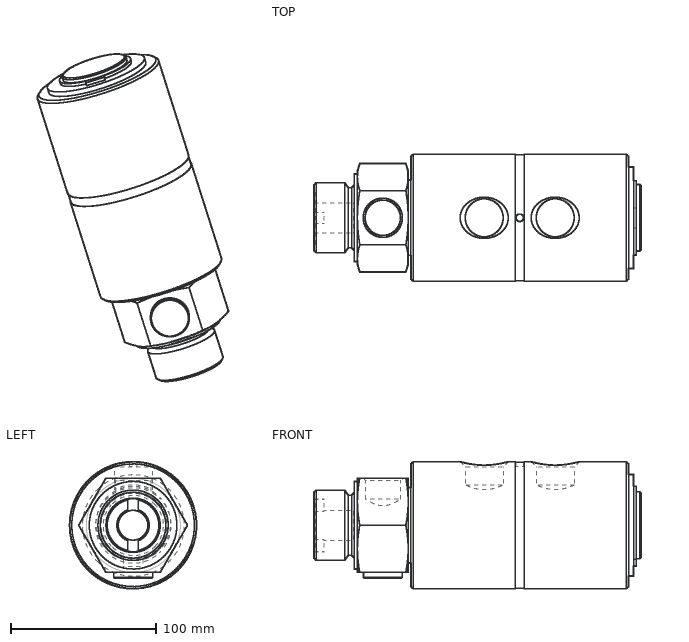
import cadquery as cq
import math

TOTAL_LENGTH = 225.5

STUB_DIA = 48.5
STUB_CHAMFER = 1.5
STUB_END = 21.2
UNDERCUT_START = 23.7
UNDERCUT_DIA = 41.5
UNDERCUT_END = 26.0
UNDERCUT_FLARE = 2.0
COLLAR_DIA = 60.5
COLLAR_START = 27.7

HEX_START = 30.0
HEX_END = 65.0
HEX_ACROSS_FLATS = 65.0
HEX_CHAMFER = 1.5
HEX_MIDDLE = (HEX_START + HEX_END) / 2
HEX_CORNER_DIA = HEX_ACROSS_FLATS / math.cos(math.pi / 6)
NECK_DIA = 52.0

BODY_DIA = 87.7
BODY_START = 66.7
BODY_END = 216.8
BODY_CHAMFER = 1.5
BODY_MIDDLE = (BODY_START + BODY_END) / 2
GROOVE_DIA = 87.0
GROOVE_WIDTH = 6.3

COVER_DIA = 70.0
COVER_END = 220.2
RING_DIA = 51.5
RING_OFFSET = 1.4
RING_END = 222.2
LUG_WIDTH = 13.5
LUG_REACH = 28.2
SHAFT_END_DIA = 46.2
SHAFT_END_CHAMFER = 1.0

HEX_PORT_DIA = 24.3
HEX_PORT_MOUTH_DIA = 27.0
HEX_PORT_CORE_DIA = 36.5
BODY_PORT_DIA = 26.1
BODY_PORT_MOUTH_DIA = 33.1
BODY_PORT_CORE_DIA = 56.0
BODY_PORT_SPACING = 49.0
PIN_HOLE_DIA = 5.2
PIN_HOLE_DEPTH = 2.7

PLUG_DIA = 26.8
PLUG_REACH = 36.5
PLUG_CHAMFER = 0.7

INSERT_DIA = 36.5
INSERT_EDGE_CHAMFER = 0.5
BORE_DIA = 20.5
BORE_CHAMFER = 1.0
BORE_DEPTH = 27.0
SLOT_WIDTH = 7.5
SLOT_DEPTH = 6.8


def cylinder_x(diameter, start, end):
    """Cylinder along the X axis from start to end."""
    return cq.Workplane("YZ", origin=(start, 0, 0)).circle(diameter / 2).extrude(end - start)


def make_stub():
    """Chamfered stub, undercut tapered on both sides, and collar."""
    stub_r = STUB_DIA / 2
    undercut_r = UNDERCUT_DIA / 2
    collar_r = COLLAR_DIA / 2
    profile = (
        cq.Workplane("XY")
        .lineTo(0, stub_r - STUB_CHAMFER)
        .lineTo(STUB_CHAMFER, stub_r)
        .lineTo(STUB_END, stub_r)
        .lineTo(UNDERCUT_START, undercut_r)
        .lineTo(UNDERCUT_END, undercut_r)
        .lineTo(COLLAR_START, undercut_r + UNDERCUT_FLARE)
        .lineTo(COLLAR_START, collar_r)
        .lineTo(HEX_START, collar_r)
        .lineTo(HEX_START, 0)
        .close()
    )
    return profile.revolve(360, (0, 0, 0), (1, 0, 0))


def make_hexagon():
    """Hexagon with both ends chamfered conically from the flats to the corners."""
    prism = (
        cq.Workplane("YZ", origin=(HEX_START, 0, 0))
        .polygon(6, HEX_CORNER_DIA)
        .extrude(HEX_END - HEX_START)
    )
    flat_r = HEX_ACROSS_FLATS / 2
    corner_r = HEX_CORNER_DIA / 2
    envelope = (
        cq.Workplane("XY")
        .moveTo(HEX_START, 0)
        .lineTo(HEX_START, flat_r)
        .lineTo(HEX_START + HEX_CHAMFER, corner_r)
        .lineTo(HEX_END - HEX_CHAMFER, corner_r)
        .lineTo(HEX_END, flat_r)
        .lineTo(HEX_END, 0)
        .close()
        .revolve(360, (0, 0, 0), (1, 0, 0))
    )
    return prism.intersect(envelope)


def make_body():
    """Chamfered housing with a shallow groove around its middle."""
    body = cylinder_x(BODY_DIA, BODY_START, BODY_END).edges().chamfer(BODY_CHAMFER)
    groove_start = BODY_MIDDLE - GROOVE_WIDTH / 2
    groove_end = BODY_MIDDLE + GROOVE_WIDTH / 2
    groove = cylinder_x(BODY_DIA, groove_start, groove_end)
    groove = groove.cut(cylinder_x(GROOVE_DIA, groove_start, groove_end))
    return body.cut(groove)


def make_rear_end():
    """Cover, off-centre retaining ring with its lug, and shaft end."""
    cover = cylinder_x(COVER_DIA, BODY_END, COVER_END)
    ring = cylinder_x(RING_DIA, COVER_END, RING_END).translate((0, 0, RING_OFFSET))
    lug = cq.Workplane("XY").box(
        RING_END - COVER_END, LUG_WIDTH, LUG_REACH, centered=(False, True, False)
    ).translate((COVER_END, 0, -LUG_REACH))
    shaft_end = cylinder_x(SHAFT_END_DIA, COVER_END, TOTAL_LENGTH)
    shaft_end = shaft_end.faces(">X").chamfer(SHAFT_END_CHAMFER)
    return cover.union(ring).union(lug).union(shaft_end)


def make_plug():
    """Round plug standing out of the lower hexagon flat."""
    plug = cq.Workplane("XY", origin=(HEX_MIDDLE, 0, -PLUG_REACH)).circle(PLUG_DIA / 2)
    return plug.extrude(PLUG_REACH).faces("<Z").chamfer(PLUG_CHAMFER)


def make_port(x, top, port_dia, mouth_dia, core_dia):
    """Radial port with a 45 degree countersink, ending on a round core."""
    port_r = port_dia / 2
    mouth_r = mouth_dia / 2
    port = (
        cq.Workplane("XZ")
        .lineTo(port_r, 0)
        .lineTo(port_r, top - (mouth_r - port_r))
        .lineTo(mouth_r, top)
        .lineTo(0, top)
        .close()
        .revolve(360, (0, 0, 0), (0, 1, 0))
        .translate((x, 0, 0))
    )
    return port.cut(cylinder_x(core_dia, x - mouth_dia, x + mouth_dia))


def make_pin_hole():
    """Small blind hole in the groove, on top of the housing."""
    hole = cq.Workplane("XY", origin=(BODY_MIDDLE, 0, GROOVE_DIA / 2 - PIN_HOLE_DEPTH))
    return hole.circle(PIN_HOLE_DIA / 2).extrude(BODY_DIA)


def make_insert_cuts():
    """Bore, upright slot and V-shaped seam that outline the insert in the stub end."""
    bore_r = BORE_DIA / 2
    bore = (
        cq.Workplane("XY")
        .lineTo(0, bore_r + BORE_CHAMFER)
        .lineTo(BORE_CHAMFER, bore_r)
        .lineTo(BORE_DEPTH, bore_r)
        .lineTo(BORE_DEPTH, 0)
        .close()
        .revolve(360, (0, 0, 0), (1, 0, 0))
    )
    slot = cq.Workplane("XY").box(
        SLOT_DEPTH, SLOT_WIDTH, INSERT_DIA, centered=(False, True, True)
    )
    slot = slot.intersect(cylinder_x(INSERT_DIA, 0, SLOT_DEPTH))
    insert_r = INSERT_DIA / 2
    seam = (
        cq.Workplane("XY")
        .moveTo(0, insert_r - INSERT_EDGE_CHAMFER)
        .lineTo(INSERT_EDGE_CHAMFER, insert_r)
        .lineTo(0, insert_r + INSERT_EDGE_CHAMFER)
        .close()
        .revolve(360, (0, 0, 0), (1, 0, 0))
    )
    return bore.union(slot).union(seam)


result = (
    make_stub()
    .union(make_hexagon())
    .union(cylinder_x(NECK_DIA, HEX_END, BODY_START))
    .union(make_body())
    .union(make_rear_end())
    .union(make_plug())
)

result = result.cut(
    make_port(
        HEX_MIDDLE, HEX_ACROSS_FLATS / 2, HEX_PORT_DIA, HEX_PORT_MOUTH_DIA, HEX_PORT_CORE_DIA
    )
)
for side in (-1, 1):
    port_x = BODY_MIDDLE + side * BODY_PORT_SPACING / 2
    result = result.cut(
        make_port(port_x, BODY_DIA / 2, BODY_PORT_DIA, BODY_PORT_MOUTH_DIA, BODY_PORT_CORE_DIA)
    )
result = result.cut(make_pin_hole()).cut(make_insert_cuts())